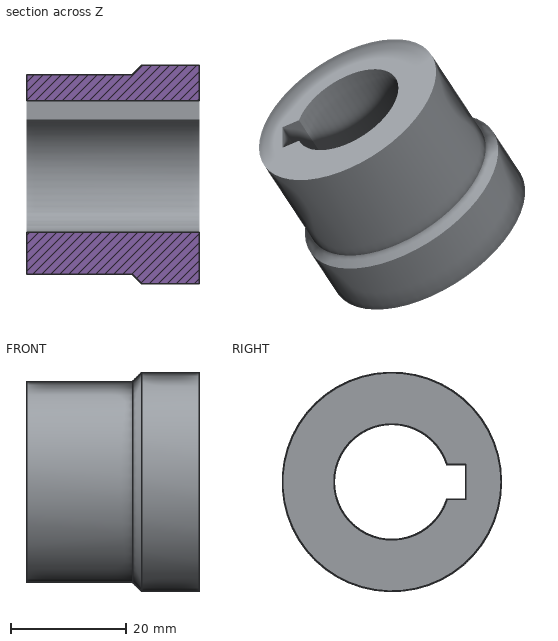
import cadquery as cq

total_length = 30.0
flange_length = 10.0
body_diameter = 34.8
flange_diameter = 38.0
bore_diameter = 20.0

key_width = 6.0
key_floor_from_axis = 12.8

body_radius = body_diameter / 2
flange_radius = flange_diameter / 2
flange_start = total_length - flange_length
cone_start = flange_start - (flange_radius - body_radius)


def make_blank():
    """Revolve the outer half profile around the X axis."""
    profile = [
        (0, 0),
        (0, body_radius),
        (cone_start, body_radius),
        (flange_start, flange_radius),
        (total_length, flange_radius),
        (total_length, 0),
    ]
    return cq.Workplane("XY").polyline(profile).close().revolve(360, (0, 0), (1, 0))


def make_bore():
    """Through bore along the axis."""
    return cq.Workplane("YZ").circle(bore_diameter / 2).extrude(total_length)


def make_keyway():
    """Straight through keyway, running from the axis to its floor."""
    return cq.Workplane("XY").box(
        total_length, key_floor_from_axis, key_width, centered=(False, False, True)
    )


result = make_blank().cut(make_bore()).cut(make_keyway())